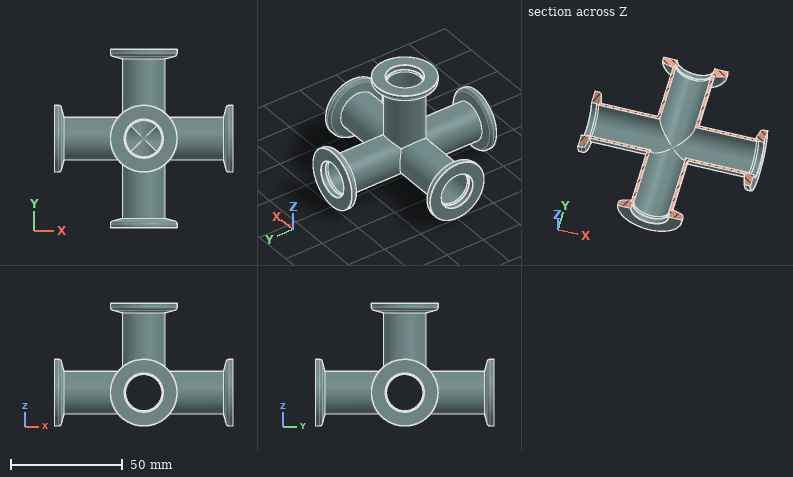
import cadquery as cq
import math


port_reach = 40.0

flange_diameter = 30.0
rim_width = 1.8
rim_round = 1.5
cone_angle = 15.0
recess_diameter = 17.2
recess_depth = 2.5
face_edge_break = 0.2
flange_bore_diameter = 16.4
socket_depth = 3.5

tube_outer_diameter = 19.2
tube_bore_diameter = 16.2

flange_radius = flange_diameter / 2
tube_radius = tube_outer_diameter / 2
recess_radius = recess_diameter / 2
tube_bore_radius = tube_bore_diameter / 2
flange_bore_radius = flange_bore_diameter / 2
slope = math.radians(cone_angle)
round_center_radius = flange_radius - rim_round
cone_start_depth = rim_width + rim_round * math.cos(slope)
cone_start_radius = round_center_radius + rim_round * math.sin(slope)
round_middle_angle = (math.pi / 2 + slope) / 2
round_middle_depth = rim_width + rim_round * math.cos(round_middle_angle)
round_middle_radius = round_center_radius + rim_round * math.sin(round_middle_angle)
flange_thickness = cone_start_depth + (cone_start_radius - tube_radius) * math.tan(slope)
flange_back_reach = port_reach - flange_thickness
tube_reach = port_reach - socket_depth

port_directions = [(1, 0, 0), (-1, 0, 0), (0, 1, 0), (0, -1, 0), (0, 0, 1)]


def port_plane(direction):
    """Plane at the cross centre whose normal points out along a port."""
    across = (1, 0, 0) if direction[0] == 0 else (0, 1, 0)
    return cq.Plane(origin=(0, 0, 0), xDir=across, normal=direction)


def all_legs(radius):
    """Solid cylinders from the cross centre to the five tube ends, joined."""
    legs = cq.Workplane("XY")
    for direction in port_directions:
        leg = cq.Workplane(port_plane(direction)).circle(radius).extrude(tube_reach)
        legs = legs.union(leg)
    return legs


def make_tube_cross():
    """Five mitred tube legs with their bores meeting at the centre."""
    return all_legs(tube_radius).cut(all_legs(tube_bore_radius))


def make_flange(direction):
    """Flange ring revolved about the port axis, with its flat face outward and a tube socket behind."""
    profile = (
        cq.Workplane(port_plane(direction))
        .transformed(rotate=(90, 0, 0))
        .moveTo(recess_radius + face_edge_break, port_reach)
        .lineTo(flange_radius - face_edge_break, port_reach)
        .lineTo(flange_radius, port_reach - face_edge_break)
        .lineTo(flange_radius, port_reach - rim_width)
        .threePointArc(
            (round_middle_radius, port_reach - round_middle_depth),
            (cone_start_radius, port_reach - cone_start_depth),
        )
        .lineTo(tube_radius, flange_back_reach)
        .lineTo(tube_radius, tube_reach)
        .lineTo(flange_bore_radius, tube_reach)
        .lineTo(flange_bore_radius, port_reach - recess_depth)
        .lineTo(recess_radius, port_reach - recess_depth)
        .lineTo(recess_radius, port_reach - face_edge_break)
        .close()
    )
    return profile.revolve(360, (0, 0, 0), (0, 1, 0))


tube_cross = make_tube_cross()
flanges = [make_flange(direction) for direction in port_directions]

result = cq.Compound.makeCompound([tube_cross.val(), *[flange.val() for flange in flanges]])